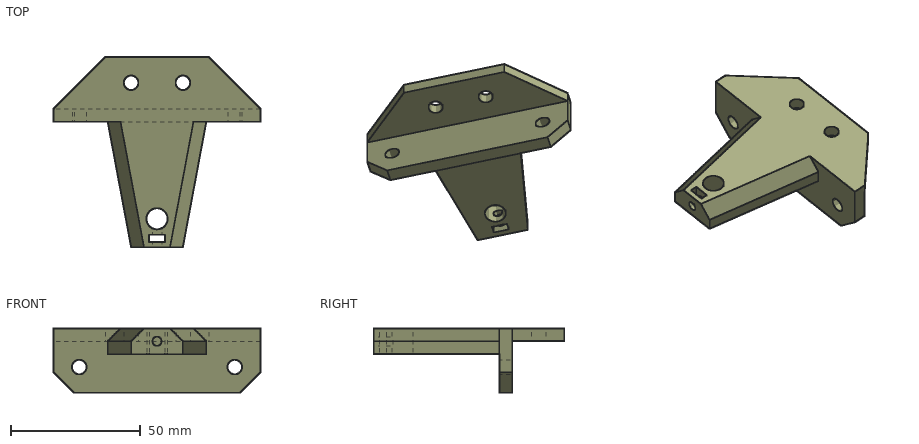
import cadquery as cq

width = 80.0
depth = 73.5
height = 25.0
arm_height = 10.0
thickness = arm_height / 2
arm_length = 48.5
plate_depth = depth - arm_length
plate_corner = 20.0
wall_corner = 8.0

root_width = 40.0
tip_width = 20.0
arm_bevel = arm_height / 2

mount_diameter = 5.5
plate_hole_spacing = 20.0
plate_hole_inset = 10.0
wall_hole_spacing = 60.0
wall_hole_inset = 10.0

tip_y = -arm_length
rod_diameter = 8.1
rod_y = tip_y + 11.0
nut_slot_width = 6.0
nut_slot_length = 2.7
nut_slot_y = tip_y + 3.5
screw_diameter = 3.5


def make_top_plate():
    blank = cq.Workplane("XY").box(width, plate_depth, thickness, centered=(True, False, False))
    plate = blank.faces(">Y").edges("|Z").chamfer(plate_corner)
    return plate.translate((0, 0, -thickness))


def make_wall():
    blank = cq.Workplane("XY").box(width, thickness, height, centered=(True, False, False))
    wall = blank.faces("<Z").edges("|Y").chamfer(wall_corner)
    return wall.translate((0, 0, -height))


def arm_section(base_width):
    """Corner points of a bevelled arm section."""
    half = base_width / 2
    return [
        (-half, -arm_height),
        (half, -arm_height),
        (half, -arm_bevel),
        (half - arm_bevel, 0),
        (arm_bevel - half, 0),
        (-half, -arm_bevel),
    ]


def make_arm():
    return (
        cq.Workplane("XZ", origin=(0, thickness, 0))
        .polyline(arm_section(root_width))
        .close()
        .workplane(offset=arm_length + thickness)
        .polyline(arm_section(tip_width))
        .close()
        .loft(ruled=True)
    )


def plate_holes():
    y = plate_depth - plate_hole_inset
    half = plate_hole_spacing / 2
    return cq.Workplane("XY").pushPoints([(-half, y), (half, y)]).circle(mount_diameter / 2).extrude(-thickness)


def wall_holes():
    z = wall_hole_inset - height
    half = wall_hole_spacing / 2
    return cq.Workplane("XZ").pushPoints([(-half, z), (half, z)]).circle(mount_diameter / 2).extrude(-thickness)


def rod_hole():
    return cq.Workplane("XY").center(0, rod_y).circle(rod_diameter / 2).extrude(-arm_height)


def nut_slot():
    return cq.Workplane("XY").center(0, nut_slot_y).rect(nut_slot_width, nut_slot_length).extrude(-arm_height)


def screw_hole():
    """Clamping screw hole from the tip face, through the nut slot, into the rod hole."""
    return (
        cq.Workplane("XZ", origin=(0, tip_y, -arm_height / 2))
        .circle(screw_diameter / 2)
        .extrude(tip_y - rod_y)
    )


result = make_top_plate().union(make_wall()).union(make_arm())
for cutter in (plate_holes(), wall_holes(), rod_hole(), nut_slot(), screw_hole()):
    result = result.cut(cutter)